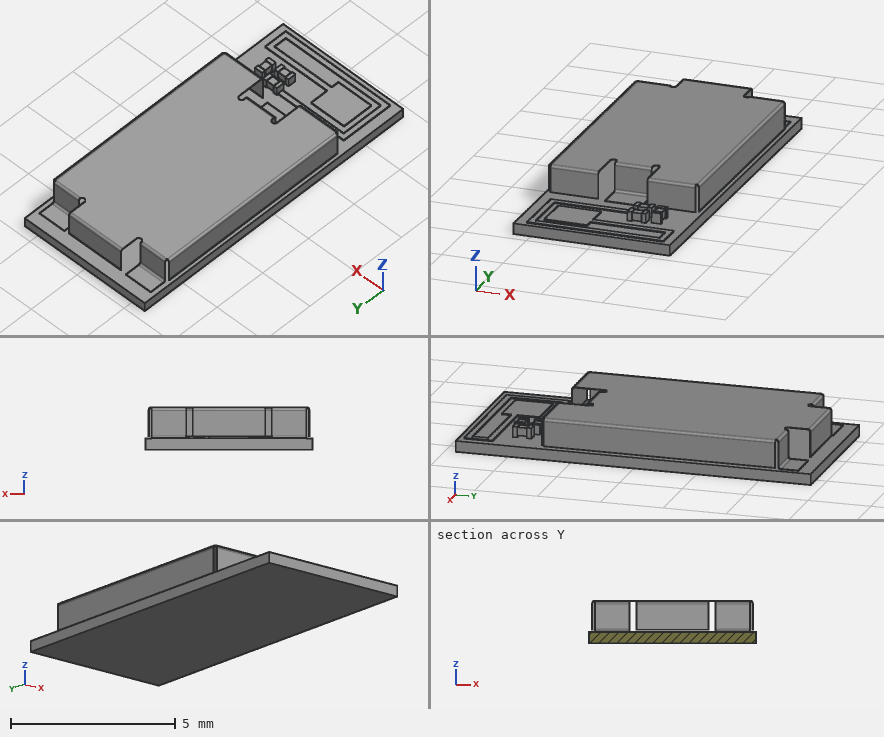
import cadquery as cq
import math

BOARD_WIDTH = 5.1
BOARD_LENGTH = 11.3
BOARD_THICKNESS = 0.35
BOARD_LEFT = -BOARD_WIDTH / 2
BOARD_FRONT = -BOARD_LENGTH / 2
BOARD_REAR = BOARD_LENGTH / 2

COPPER = 0.03
TRACE_WIDTH = 0.2
TRACE_GAP = 0.2
PATCH_WIDTH = 1.4
PATCH_LENGTH = 1.2
LOOP_LEFT = BOARD_LEFT + 0.37
LOOP_RIGHT = -BOARD_LEFT - 0.28
LOOP_FRONT = BOARD_FRONT + 0.18
FEED_REAR = BOARD_FRONT + 2.21
STUB_REAR = BOARD_FRONT + 1.08

CHIP_LENGTH = 0.6
CHIP_WIDTH = 0.3
CHIP_HEIGHT = 0.3
CAP_LENGTH = 0.15
CAP_STEP = 0.02
CHIP_ROW_X = 0.92
FEED_CHIP_Y = FEED_REAR - TRACE_WIDTH / 2
CHIP_PITCH = 0.51
RAISED_CHIP_X = 1.51
RAISED_CHIP_Y = BOARD_FRONT + 1.84

TOP_Z = 1.3
SHEET = 0.02
BEND = 0.09
FOOT_BEND = 0.085
WALL_GAP = 0.06
CAN_WIDTH = 4.9
CAN_FRONT = BOARD_FRONT + 2.68
CAN_REAR = BOARD_REAR - 1.07
SLOT_WIDTH = 0.2
REAR_TONGUE_WIDTH = 2.2
REAR_TONGUE_END = BOARD_REAR - 0.44
REAR_FOOT_END = BOARD_REAR - 0.45
REAR_SLOT_END = BOARD_REAR - 1.22
FRONT_TONGUE_WIDTH = 1.2
FRONT_TONGUE_Y = CAN_FRONT + 0.88
FRONT_FOOT_END = CAN_FRONT + 0.02
FRONT_SLOT_END = CAN_FRONT + 1.14

ROOF_RIGHT = CAN_WIDTH / 2 - BEND
ROOF_FRONT = CAN_FRONT + BEND
ROOF_REAR = CAN_REAR - BEND
REAR_TONGUE_FOLD = REAR_TONGUE_END - BEND
FRONT_TONGUE_FOLD = FRONT_TONGUE_Y + BEND


def block(x_min, x_max, y_min, y_max, z_min, z_max):
    """Box between the given limits."""
    size = (x_max - x_min, y_max - y_min, z_max - z_min)
    return cq.Workplane("XY").box(*size, centered=False).translate((x_min, y_min, z_min))


def antenna():
    """Raised trace: a feed line that runs round the patch and back to it."""
    loop_front_inner = LOOP_FRONT + TRACE_WIDTH
    loop_left_inner = LOOP_LEFT + TRACE_WIDTH
    loop_right_inner = LOOP_RIGHT - TRACE_WIDTH
    patch_left = loop_left_inner + TRACE_GAP
    patch_right = patch_left + PATCH_WIDTH
    patch_front = loop_front_inner + TRACE_GAP
    patch_rear = patch_front + PATCH_LENGTH
    feed_front = FEED_REAR - TRACE_WIDTH
    stub_front = STUB_REAR - TRACE_WIDTH
    feed_end = CHIP_ROW_X - CHIP_LENGTH / 2 + CAP_LENGTH
    outline = [
        (feed_end, FEED_REAR),
        (LOOP_LEFT, FEED_REAR),
        (LOOP_LEFT, LOOP_FRONT),
        (LOOP_RIGHT, LOOP_FRONT),
        (LOOP_RIGHT, STUB_REAR),
        (patch_right, STUB_REAR),
        (patch_right, patch_rear),
        (patch_left, patch_rear),
        (patch_left, patch_front),
        (patch_right, patch_front),
        (patch_right, stub_front),
        (loop_right_inner, stub_front),
        (loop_right_inner, loop_front_inner),
        (loop_left_inner, loop_front_inner),
        (loop_left_inner, feed_front),
        (feed_end, feed_front),
    ]
    return cq.Workplane("XY", origin=(0, 0, BOARD_THICKNESS)).polyline(outline).close().extrude(COPPER)


def chip(pad_height=0.0):
    """Chip along X, centred on the origin, whose caps reach down through any pads to z = 0."""
    half_length = CHIP_LENGTH / 2
    half_width = CHIP_WIDTH / 2
    top = CHIP_HEIGHT + pad_height
    inner_end = half_length - CAP_LENGTH
    body_side = half_width - CAP_STEP
    body = block(-inner_end, inner_end, -body_side, body_side, pad_height + CAP_STEP, top - CAP_STEP)
    left_cap = block(-half_length, -inner_end, -half_width, half_width, 0, top)
    right_cap = left_cap.mirror("YZ")
    return body.union(left_cap).union(right_cap)


def make_board():
    """Board with its antenna and the three chips fixed to it."""
    board = block(BOARD_LEFT, -BOARD_LEFT, BOARD_FRONT, BOARD_REAR, 0, BOARD_THICKNESS)
    board = board.union(antenna())
    for row in range(2):
        chip_y = FEED_CHIP_Y - row * CHIP_PITCH
        board = board.union(chip().translate((CHIP_ROW_X, chip_y, BOARD_THICKNESS)))
    raised_chip = chip(COPPER).rotate((0, 0, 0), (0, 0, 1), 90)
    return board.union(raised_chip.translate((RAISED_CHIP_X, RAISED_CHIP_Y, BOARD_THICKNESS)))


def roof_fold_start():
    """Profile from the roof's underside at y = 0 round the outside of the fold to the top of the wall."""
    bend_centre_z = TOP_Z - BEND
    return (
        cq.Workplane("YZ")
        .moveTo(0, TOP_Z - SHEET)
        .lineTo(0, TOP_Z)
        .radiusArc((-BEND, bend_centre_z), -BEND)
    )


def wall_flap(width):
    """Plain wall: folded down from the roof at y = 0 and cut off just above the board."""
    wall_inner = SHEET - BEND
    bottom = BOARD_THICKNESS + WALL_GAP
    profile = (
        roof_fold_start()
        .lineTo(-BEND, bottom)
        .lineTo(wall_inner, bottom)
        .lineTo(wall_inner, TOP_Z - BEND)
        .radiusArc((0, TOP_Z - SHEET), BEND - SHEET)
    )
    return profile.close().extrude(width / 2, both=True)


def foot_flap(width, reach):
    """Wall that is folded outward again at the board, its foot ending `reach` from the roof fold."""
    wall_inner = SHEET - BEND
    foot_bend_inner = FOOT_BEND - SHEET
    foot_start = wall_inner - FOOT_BEND
    foot_bend_z = BOARD_THICKNESS + FOOT_BEND
    foot_top = BOARD_THICKNESS + SHEET
    profile = (
        roof_fold_start()
        .lineTo(-BEND, foot_bend_z)
        .radiusArc((foot_start, foot_top), foot_bend_inner)
        .lineTo(-reach, foot_top)
        .lineTo(-reach, BOARD_THICKNESS)
        .lineTo(foot_start, BOARD_THICKNESS)
        .radiusArc((wall_inner, foot_bend_z), -FOOT_BEND)
        .lineTo(wall_inner, TOP_Z - BEND)
        .radiusArc((0, TOP_Z - SHEET), BEND - SHEET)
    )
    return profile.close().extrude(width / 2, both=True)


def turned(flap, angle):
    """Flap turned about the Z axis."""
    return flap.rotate((0, 0, 0), (0, 0, 1), angle)


def relief_slot(x_centre, y_open, y_end):
    """Slot through the roof with a round closed end at y_end."""
    radius = SLOT_WIDTH / 2
    y_round = y_end - math.copysign(radius, y_end - y_open)
    bottom = TOP_Z - SHEET
    y_min, y_max = sorted((y_open, y_round))
    straight = block(x_centre - radius, x_centre + radius, y_min, y_max, bottom, TOP_Z)
    round_end = cq.Workplane("XY", origin=(x_centre, y_round, bottom)).circle(radius).extrude(SHEET)
    return straight.union(round_end)


def make_roof():
    """Flat roof up to the fold lines, with a tongue at the rear and a notch at the front."""
    bottom = TOP_Z - SHEET
    rear_half = REAR_TONGUE_WIDTH / 2
    front_half = FRONT_TONGUE_WIDTH / 2
    roof = block(-ROOF_RIGHT, ROOF_RIGHT, ROOF_FRONT, ROOF_REAR, bottom, TOP_Z)
    roof = roof.union(block(-rear_half, rear_half, ROOF_REAR, REAR_TONGUE_FOLD, bottom, TOP_Z))
    roof = roof.cut(block(-front_half, front_half, ROOF_FRONT, FRONT_TONGUE_FOLD, bottom, TOP_Z))
    for side in (-1, 1):
        rear_slot_x = side * (rear_half + SLOT_WIDTH / 2)
        front_slot_x = side * (front_half + SLOT_WIDTH / 2)
        roof = roof.cut(relief_slot(rear_slot_x, ROOF_REAR, REAR_SLOT_END))
        roof = roof.cut(relief_slot(front_slot_x, ROOF_FRONT, FRONT_SLOT_END))
    return roof


def make_can():
    """Shield can: roof, walls with open corners, and three feet standing on the board."""
    can = make_roof()

    side_wall = wall_flap(ROOF_REAR - ROOF_FRONT)
    side_y = (ROOF_REAR + ROOF_FRONT) / 2
    front_inner = FRONT_TONGUE_WIDTH / 2 + SLOT_WIDTH
    front_wall = wall_flap(ROOF_RIGHT - front_inner)
    rear_inner = REAR_TONGUE_WIDTH / 2 + SLOT_WIDTH
    rear_foot = turned(foot_flap(ROOF_RIGHT - rear_inner, REAR_FOOT_END - ROOF_REAR), 180)
    for side in (-1, 1):
        can = can.union(turned(side_wall, side * 90).translate((side * ROOF_RIGHT, side_y, 0)))
        can = can.union(front_wall.translate((side * (ROOF_RIGHT + front_inner) / 2, ROOF_FRONT, 0)))
        can = can.union(rear_foot.translate((side * (ROOF_RIGHT + rear_inner) / 2, ROOF_REAR, 0)))

    rear_wall = turned(wall_flap(REAR_TONGUE_WIDTH), 180)
    can = can.union(rear_wall.translate((0, REAR_TONGUE_FOLD, 0)))
    front_foot = foot_flap(FRONT_TONGUE_WIDTH, FRONT_TONGUE_FOLD - FRONT_FOOT_END)
    return can.union(front_foot.translate((0, FRONT_TONGUE_FOLD, 0)))


board = make_board()
can = make_can()

result = cq.Compound.makeCompound([board.val(), can.val()])